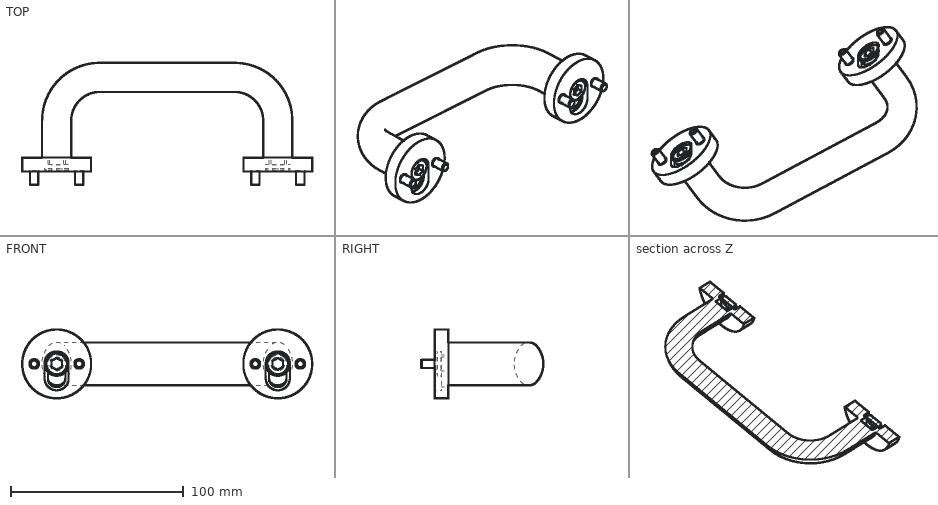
import cadquery as cq
import math

grip_spacing = 128.0
grip_height = 55.0
oval_width = 17.0
oval_height = 25.0
oval_end_radius = 6.0
bend_radius = 25.0

rosette_diameter = 40.0
rosette_thickness = 8.0
slot_width = 10.0
counterbore_width = 14.0
slot_top_centre = 0.2
slot_bottom_centre = -8.3
counterbore_depth = 4.0

pin_diameter = 5.0
pin_length = 7.9
pin_spacing = 26.0
pin_chamfer = 0.5
pin_recess_diameter = 5.5
pin_recess_depth = 0.5

screw_head_diameter = 13.8
screw_head_height = 3.25
screw_head_chamfer = 0.9
screw_shank_diameter = 8.0
hex_across_flats = 6.0
hex_depth = 3.0

slot_travel = slot_top_centre - slot_bottom_centre
leg_x = grip_spacing / 2
rosette_back_y = -rosette_thickness
counterbore_floor_y = rosette_back_y + counterbore_depth
screw_face_y = counterbore_floor_y - screw_head_height


def plane_at(y, x=0.0):
    """Plane facing +Y, with local x along X and local y along -Z."""
    return cq.Plane(origin=(x, y, 0), xDir=(1, 0, 0), normal=(0, 1, 0))


def oval(x):
    """Four tangent arcs: small radius above and below, large radius on the sides."""
    half_width = oval_width / 2
    half_height = oval_height / 2
    end_centre = half_height - oval_end_radius
    side_radius = (half_width**2 + end_centre**2 - oval_end_radius**2) / (
        2 * (half_width - oval_end_radius)
    )
    join_angle = math.atan2(end_centre, side_radius - half_width)
    join_x = oval_end_radius * math.cos(join_angle)
    join_z = end_centre + oval_end_radius * math.sin(join_angle)
    return (
        cq.Workplane(plane_at(0, x))
        .moveTo(join_x, -join_z)
        .threePointArc((half_width, 0), (join_x, join_z))
        .threePointArc((0, half_height), (-join_x, join_z))
        .threePointArc((-half_width, 0), (-join_x, -join_z))
        .threePointArc((0, -half_height), (join_x, -join_z))
        .close()
    )


def make_grip():
    axis_y = grip_height - oval_width / 2
    bend_start_y = axis_y - bend_radius
    bend_end_x = leg_x - bend_radius
    bend_mid = bend_radius * math.sqrt(0.5)
    path = (
        cq.Workplane("XY")
        .moveTo(-leg_x, 0)
        .lineTo(-leg_x, bend_start_y)
        .threePointArc((-bend_end_x - bend_mid, bend_start_y + bend_mid), (-bend_end_x, axis_y))
        .lineTo(bend_end_x, axis_y)
        .threePointArc((bend_end_x + bend_mid, bend_start_y + bend_mid), (leg_x, bend_start_y))
        .lineTo(leg_x, 0)
    )
    return oval(-leg_x).sweep(path)


def make_slot(width, start_y, depth):
    """Upright slot, mostly below the leg axis."""
    return (
        cq.Workplane(plane_at(start_y))
        .center(0, -(slot_top_centre + slot_bottom_centre) / 2)
        .slot2D(slot_travel + width, width, 90)
        .extrude(depth)
    )


def make_pin_pair(diameter, start_y, length):
    return (
        cq.Workplane(plane_at(start_y))
        .pushPoints([(-pin_spacing / 2, 0), (pin_spacing / 2, 0)])
        .circle(diameter / 2)
        .extrude(length)
    )


def make_rosette():
    plate = cq.Workplane(plane_at(rosette_back_y)).circle(rosette_diameter / 2).extrude(rosette_thickness)
    through_slot = make_slot(slot_width, rosette_back_y, rosette_thickness)
    counterbore = make_slot(counterbore_width, rosette_back_y, counterbore_depth)
    plate = plate.cut(through_slot).cut(counterbore)
    plate = plate.cut(make_pin_pair(pin_recess_diameter, rosette_back_y, pin_recess_depth))
    pin_tip_y = rosette_back_y - pin_length
    pins = make_pin_pair(pin_diameter, pin_tip_y, pin_length + pin_recess_depth)
    return plate.union(pins.faces("<Y").chamfer(pin_chamfer))


def make_screw():
    head = (
        cq.Workplane(plane_at(screw_face_y))
        .circle(screw_head_diameter / 2)
        .extrude(screw_head_height)
        .faces("<Y")
        .chamfer(screw_head_chamfer)
    )
    shank = (
        cq.Workplane(plane_at(counterbore_floor_y))
        .circle(screw_shank_diameter / 2)
        .extrude(-counterbore_floor_y)
    )
    hex_socket = (
        cq.Workplane(plane_at(screw_face_y))
        .polygon(6, hex_across_flats, circumscribed=True)
        .extrude(hex_depth)
    )
    return head.union(shank).cut(hex_socket)


result = make_grip()
foot = make_rosette().union(make_screw())
for side in (-1, 1):
    result = result.union(foot.translate((side * leg_x, 0, 0)))